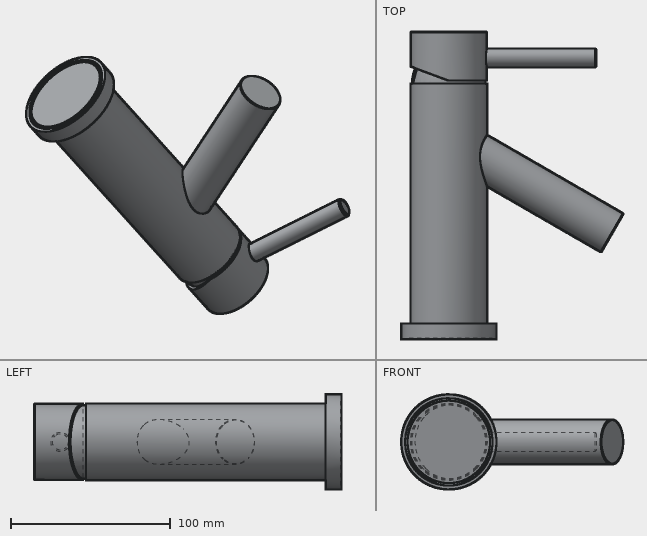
import cadquery as cq
import math

total_height = 192.4
base_radius = 29.8
base_height = 10.0
groove_outer_radius = 27.3
groove_inner_radius = 25.8
groove_depth = (groove_outer_radius - groove_inner_radius) / 2

body_radius = 24.0
body_top = 159.9
dome_radius = 23.0

head_radius = 23.9
head_bottom = 161.6
head_side_bottom = 170.5
head_chamfer = 0.5

lever_radius = 6.0
lever_height = 175.8
lever_reach = 92.3
lever_chamfer = 1.0

spout_radius = 14.0
spout_root_height = 125.5
spout_droop = math.radians(30)
spout_reach = 109.3
spout_chamfer = 0.4

body_axis = cq.Vector(0, 1, 0)


def rod(radius, length, start, direction, end_chamfer=0):
    """Round bar, optionally chamfered around its far end."""
    plane = cq.Plane(origin=start, normal=direction)
    bar = cq.Workplane(plane).circle(radius).extrude(length)
    if end_chamfer:
        bar = bar.faces(cq.selectors.DirectionMinMaxSelector(direction, True)).chamfer(end_chamfer)
    return bar


def make_base():
    """Flange with a half-round ring groove in its underside."""
    groove_middle = (groove_inner_radius + groove_outer_radius) / 2
    profile = (
        cq.Workplane("XY")
        .lineTo(groove_inner_radius, 0)
        .threePointArc((groove_middle, groove_depth), (groove_outer_radius, 0))
        .lineTo(base_radius, 0)
        .lineTo(base_radius, base_height)
        .lineTo(0, base_height)
        .close()
    )
    return profile.revolve(360, (0, 0), (0, 1))


def make_head():
    """Cap whose underside slopes upward on the -X half."""
    head = rod(head_radius, total_height - head_bottom, (0, head_bottom, 0), body_axis, head_chamfer)
    wedge = (
        cq.Workplane("XY")
        .polyline([(0, head_bottom), (-head_radius, head_side_bottom), (-head_radius, head_bottom)])
        .close()
        .extrude(head_radius, both=True)
    )
    return head.cut(wedge)


def make_spout():
    direction = cq.Vector(math.cos(spout_droop), -math.sin(spout_droop), 0)
    tip_x = spout_reach - spout_radius * math.sin(spout_droop)
    length = tip_x / math.cos(spout_droop)
    return rod(spout_radius, length, (0, spout_root_height, 0), direction, spout_chamfer)


body = rod(body_radius, body_top - base_height, (0, base_height, 0), body_axis)
dome = cq.Workplane("XY").sphere(dome_radius).translate((0, body_top, 0))
lever = rod(lever_radius, lever_reach, (0, lever_height, 0), cq.Vector(1, 0, 0), lever_chamfer)

result = make_base().union(body).union(dome).union(make_head()).union(lever).union(make_spout())